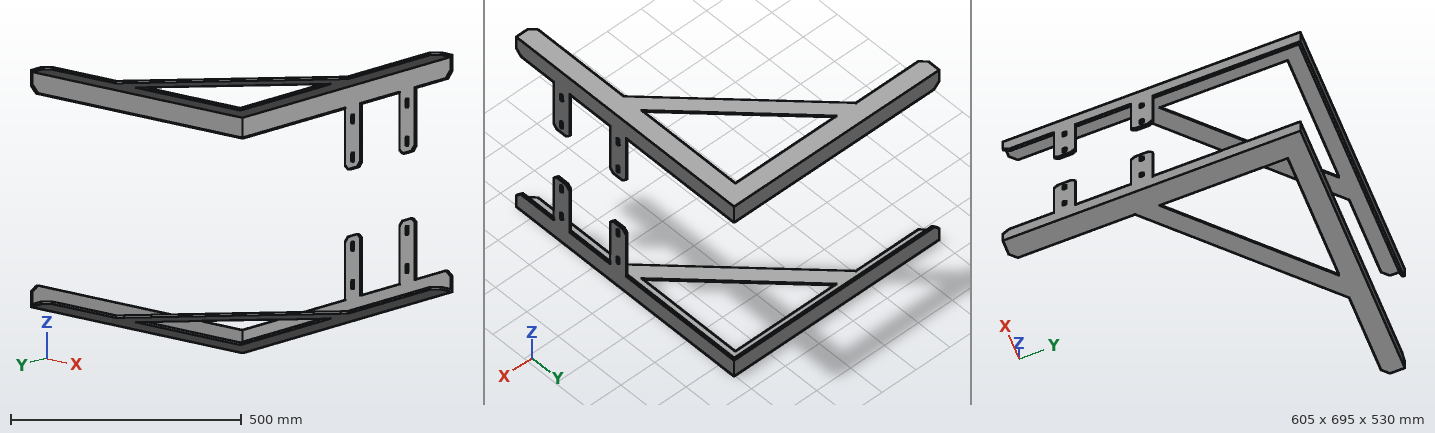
import cadquery as cq
import math

arm_x_length = 605.0
arm_y_length = 695.0
pair_height = 530.0
plate = 5.5
flange = 50.0
arm_chamfer = 15.0

brace_inner_leg = 299.0
brace_width = 40.0
brace_outer_leg = brace_inner_leg + brace_width * math.sqrt(2)

tab_width = flange
tab_top = 190.0
tab_chamfer = 10.0
tab_pitch = 180.0
end_tab_center = -arm_y_length + 144.5
tab_centers = [end_tab_center, end_tab_center + tab_pitch]

slot_width = 9.0
slot_height = 20.0
slot_pitch = 85.5
slot_end_margin = 24.0
upper_slot_z = tab_top - slot_end_margin
slot_heights = [upper_slot_z - slot_pitch, upper_slot_z]


def arm_outline(plane, length):
    """Strip along the plane's local -X, with its free outer corner chamfered."""
    return cq.Workplane(plane).polyline([
        (0, 0),
        (0, flange),
        (-length + arm_chamfer, flange),
        (-length, flange - arm_chamfer),
        (-length, 0),
    ]).close()


def make_base():
    """Flat L-shaped sheet with the diagonal brace across its inside corner."""
    along_x = cq.Plane(origin=(0, 0, plate), xDir=(1, 0, 0), normal=(0, 0, -1))
    along_y = cq.Plane(origin=(0, 0, 0), xDir=(0, 1, 0), normal=(0, 0, 1))
    x_strip = arm_outline(along_x, arm_x_length).extrude(plate)
    y_strip = arm_outline(along_y, arm_y_length).extrude(plate)
    brace = cq.Workplane("XY").polyline([
        (-flange - brace_inner_leg, -flange),
        (-flange - brace_outer_leg, -flange),
        (-flange, -flange - brace_outer_leg),
        (-flange, -flange - brace_inner_leg),
    ]).close().extrude(plate)
    return x_strip.union(y_strip).union(brace)


def make_walls():
    """Upright legs along the two outer edges of the base."""
    x_wall = arm_outline("XZ", arm_x_length).extrude(plate)
    y_wall = arm_outline("YZ", arm_y_length).extrude(-plate)
    return x_wall.union(y_wall)


def make_tab(center_y):
    """Slotted upright tab with both top corners chamfered."""
    tab = (
        cq.Workplane("XY")
        .box(plate, tab_width, tab_top, centered=(False, True, False))
        .edges("|X and >Z").chamfer(tab_chamfer)
        .translate((-plate, center_y, 0))
    )
    slots = (
        cq.Workplane("YZ")
        .pushPoints([(center_y, z) for z in slot_heights])
        .slot2D(slot_height, slot_width, 90)
        .extrude(-plate)
    )
    return tab.cut(slots)


def make_bracket():
    bracket = make_base().union(make_walls())
    for center_y in tab_centers:
        bracket = bracket.union(make_tab(center_y))
    return bracket.clean()


mirror_plane_point = (0, 0, pair_height / 2)
lower_bracket = make_bracket()
brackets = [lower_bracket, lower_bracket.mirror("XY", mirror_plane_point)]

result = cq.Compound.makeCompound([bracket.solids().val() for bracket in brackets])